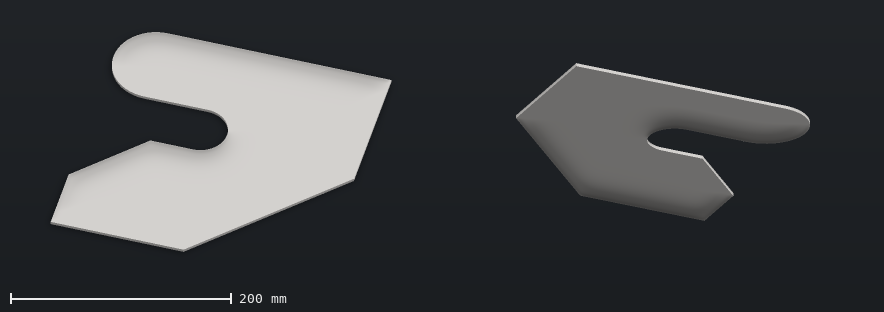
import cadquery as cq

side = 250.0
thickness = 3.0

arm_width = 80.0
arm_radius = arm_width / 2

slot_width = 50.0
slot_radius = slot_width / 2
slot_depth = side / 2

large_corner = side / 2
small_corner = 60.0

slot_top = side - arm_width
slot_bottom = slot_top - slot_width
slot_center_x = slot_depth - slot_radius

result = (
    cq.Workplane("XY")
    .moveTo(0, 0)
    .lineTo(side - large_corner, 0)
    .lineTo(side, large_corner)
    .lineTo(side, side)
    .lineTo(arm_radius, side)
    .threePointArc((0, side - arm_radius), (arm_radius, slot_top))
    .lineTo(slot_center_x, slot_top)
    .threePointArc((slot_depth, slot_top - slot_radius), (slot_center_x, slot_bottom))
    .lineTo(small_corner, slot_bottom)
    .lineTo(0, slot_bottom - small_corner)
    .close()
    .extrude(thickness)
)